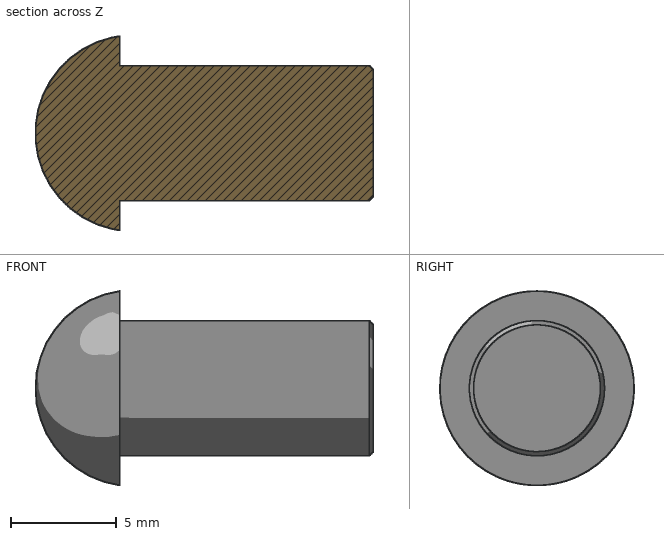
import cadquery as cq

head_diameter = 9.2
head_height = 4.0
shank_diameter = 6.4
shank_length = 12.0
tip_chamfer = 0.2

head_radius = head_diameter / 2
dome_radius = (head_radius**2 + head_height**2) / (2 * head_height)
dome_center_x = dome_radius - head_height


def make_head():
    """Spherical cap: the part of the dome sphere on the -X side of the underside."""
    dome = cq.Workplane("XY").center(dome_center_x, 0).sphere(dome_radius)
    cap_side = 2 * dome_radius
    cap_region = cq.Workplane("YZ").rect(cap_side, cap_side).extrude(-cap_side)
    return dome.intersect(cap_region)


def make_shank():
    """Cylinder with a small chamfer around its free end."""
    return (
        cq.Workplane("YZ")
        .circle(shank_diameter / 2)
        .extrude(shank_length)
        .faces(">X")
        .chamfer(tip_chamfer)
    )


result = make_head().union(make_shank())